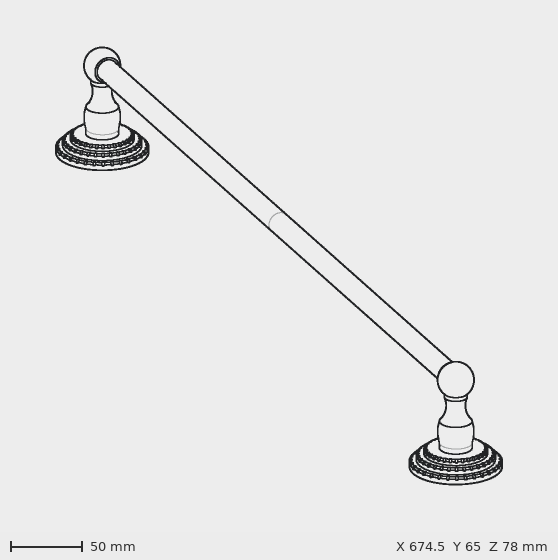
import cadquery as cq
import math

total_length = 674.5
base_diameter = 65.0
total_height = 78.0
base_radius = base_diameter / 2
post_offset = (total_length - base_diameter) / 2

tier_radii = [base_radius, 27.5, 22.0]
tier_tops = [5.5, 10.0, 14.0]
base_height = tier_tops[-1]
rim_bevel = 1.5
groove_count = 32
groove_radius = 1.0
groove_reach = 3.5
groove_tilt = 45

collar_radius = 11.5
collar_top = 18.0
bulge_radius = 13.0
bulge_top = 34.5
waist_radius = 7.0
waist_height = 46.0
neck_radius = 8.0
neck_bottom = 52.5

ball_radius = 13.0
ball_height = total_height - ball_radius
ball_flat_offset = 9.0
rail_diameter = 15.5


def make_grooves(radius, top):
    """Ring of round cutters that slope down and out across the bevel of one tier."""
    tilt = math.radians(groove_tilt)
    outward = cq.Vector(math.cos(tilt), 0, -math.sin(tilt))
    rim_point = cq.Vector(radius, 0, top - rim_bevel / 2)
    plane = cq.Plane(rim_point, (0, 1, 0), outward)
    cutter = cq.Workplane(plane).circle(groove_radius).extrude(groove_reach, both=True)
    pitch = 360 / groove_count
    return [cutter.rotate((0, 0, 0), (0, 0, 1), index * pitch).val() for index in range(groove_count)]


def make_base():
    """Stack of tiers, widest at the bottom."""
    base = None
    for radius, top in zip(tier_radii, tier_tops):
        tier = cq.Workplane("XY").circle(radius).extrude(top).faces(">Z").edges().chamfer(rim_bevel)
        tier = cq.Workplane(tier.val().cut(*make_grooves(radius, top)))
        base = tier if base is None else base.union(tier)
    return base


def make_stem():
    """Collar, bulge, waist and neck turned about the vertical axis."""
    bulge_middle = (collar_top + bulge_top) / 2
    profile = (
        cq.Workplane("XZ")
        .lineTo(collar_radius, 0)
        .lineTo(collar_radius, collar_top)
        .threePointArc((bulge_radius, bulge_middle), (collar_radius, bulge_top))
        .threePointArc((waist_radius, waist_height), (neck_radius, neck_bottom))
        .lineTo(neck_radius, ball_height)
        .lineTo(0, ball_height)
        .close()
    )
    return profile.revolve(360, (0, 0, 0), (0, 1, 0))


def make_ball():
    """Sphere cut flat on the side where the rail enters."""
    flat_radius = math.sqrt(ball_radius**2 - ball_flat_offset**2)
    profile = (
        cq.Workplane("XY")
        .moveTo(-ball_radius, 0)
        .threePointArc((0, ball_radius), (ball_flat_offset, flat_radius))
        .lineTo(ball_flat_offset, 0)
        .close()
    )
    return profile.revolve(360, (0, 0, 0), (1, 0, 0)).translate((0, 0, ball_height))


post = make_base().union(make_stem()).union(make_ball())
left_post = post.translate((-post_offset, 0, 0))
right_post = left_post.mirror("YZ")
rail = (
    cq.Workplane("YZ")
    .center(0, ball_height)
    .circle(rail_diameter / 2)
    .extrude(post_offset, both=True)
)

result = left_post.union(right_post).union(rail)